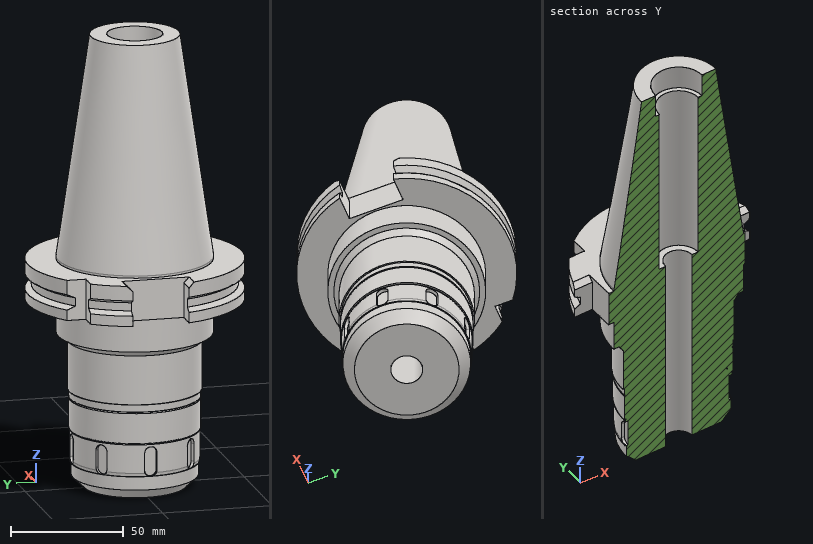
import cadquery as cq

total_height = 206.8
taper_length = 101.7
gauge_height = total_height - taper_length
flange_step = 1.0
flange_top = gauge_height - flange_step
flange_bottom = 85.5

gauge_radius = 35.0
taper_ratio = 7 / 24
taper_end_radius = gauge_radius - taper_length * taper_ratio / 2

flange_radius = 48.8
groove_radius = 46.0
groove_center = 93.9
groove_floor_width = 3.7
groove_mouth_width = 7.0

collar_radius = gauge_radius
collar_bottom = 70.0
relief_radius = 32.3
body_top = 67.0
body_radius = 30.0
body_bottom = 44.5
neck_radius = 29.4

sleeve_top = 41.0
sleeve_radius = 29.4
sleeve_chamfer = 0.6
nut_top = 26.5
nut_radius = 29.0
nut_top_chamfer = 0.6
nut_taper_top = 12.8
nut_taper_depth = 0.2
nut_bottom = 11.2
nose_radius = 28.3
nose_chamfer_height = 5.0
nose_end_radius = 23.2

wrench_slot_count = 8
wrench_slot_width = 5.5
wrench_slot_bottom = 11.2
wrench_slot_top = 24.8
wrench_slot_depth = 1.7

drive_slot_width = 25.6
drive_slot_chamfer = 2.5
drive_slot_floor_left = 37.6
drive_slot_floor_right = 35.8
notch_offset = 30.0

mouth_radius = 12.5
mouth_depth = 12.0
thread_radius = 10.3
thread_bottom = gauge_height
through_radius = 7.0


def turned_body():
    """Revolve the outer half profile about Z."""
    groove_half_mouth = groove_mouth_width / 2
    groove_half_floor = groove_floor_width / 2
    profile = [
        (0, 0),
        (nose_end_radius, 0),
        (nose_radius, nose_chamfer_height),
        (nose_radius, nut_bottom),
        (nut_radius - nut_taper_depth, nut_bottom),
        (nut_radius, nut_taper_top),
        (nut_radius, nut_top - nut_top_chamfer),
        (nut_radius - nut_top_chamfer, nut_top),
        (sleeve_radius, nut_top),
        (sleeve_radius, sleeve_top - sleeve_chamfer),
        (sleeve_radius - sleeve_chamfer, sleeve_top),
        (neck_radius, sleeve_top),
        (neck_radius, body_bottom),
        (body_radius, body_bottom),
        (body_radius, body_top),
        (relief_radius, collar_bottom),
        (collar_radius, collar_bottom),
        (collar_radius, flange_bottom),
        (flange_radius, flange_bottom),
        (flange_radius, groove_center - groove_half_mouth),
        (groove_radius, groove_center - groove_half_floor),
        (groove_radius, groove_center + groove_half_floor),
        (flange_radius, groove_center + groove_half_mouth),
        (flange_radius, flange_top),
        (gauge_radius, flange_top),
        (gauge_radius, gauge_height),
        (taper_end_radius, total_height),
        (0, total_height),
    ]
    return cq.Workplane("YZ").polyline(profile).close().revolve(360, (0, 0), (0, 1))


def bore(radius, bottom):
    """Cylinder on the Z axis from the given height up to the taper end."""
    return cq.Workplane("XY").workplane(offset=bottom).circle(radius).extrude(total_height - bottom)


def drive_slot(side, floor_distance):
    """Slot across the flange with chamfered top edges; side is -1 or +1 along X."""
    half_width = drive_slot_width / 2
    chamfered_half = half_width + drive_slot_chamfer
    section = [
        (-half_width, flange_bottom),
        (half_width, flange_bottom),
        (half_width, flange_top - drive_slot_chamfer),
        (chamfered_half, flange_top),
        (-chamfered_half, flange_top),
        (-half_width, flange_top - drive_slot_chamfer),
    ]
    return (
        cq.Workplane("YZ")
        .workplane(offset=side * floor_distance)
        .polyline(section)
        .close()
        .extrude(side * (flange_radius - floor_distance))
    )


def orientation_notch():
    """Square notch through the flange in the -X, +Y quadrant."""
    return (
        cq.Workplane("XY")
        .box(flange_radius, flange_radius, flange_top - flange_bottom, centered=False)
        .translate((-notch_offset - flange_radius, notch_offset, flange_bottom))
    )


def wrench_slot(angle):
    """Upright round-ended slot cut radially into the nut."""
    length = wrench_slot_top - wrench_slot_bottom
    return (
        cq.Workplane("YZ")
        .workplane(offset=nut_radius - wrench_slot_depth)
        .center(0, wrench_slot_bottom + length / 2)
        .slot2D(length, wrench_slot_width, 90)
        .extrude(2 * wrench_slot_depth)
        .rotate((0, 0, 0), (0, 0, 1), angle)
    )


result = turned_body()
result = result.cut(bore(through_radius, 0))
result = result.cut(bore(thread_radius, thread_bottom))
result = result.cut(bore(mouth_radius, total_height - mouth_depth))
result = result.cut(drive_slot(-1, drive_slot_floor_left))
result = result.cut(drive_slot(1, drive_slot_floor_right))
result = result.cut(orientation_notch())
for index in range(wrench_slot_count):
    result = result.cut(wrench_slot(index * 360 / wrench_slot_count))